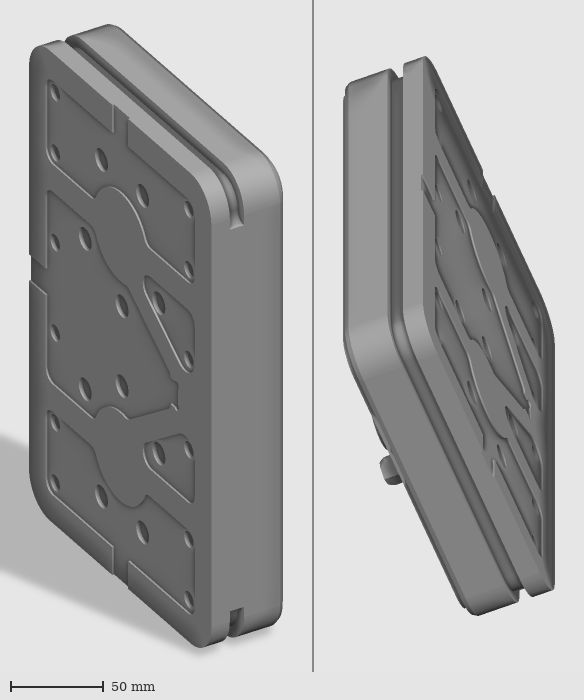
import cadquery as cq
import math

WIDTH = 190.5
HEIGHT = 298.5
CORNER_RADIUS = 21.5

GROOVE_FRONT = 11.5
GROOVE_BACK = 20.5
CHAMFER_START = 43.3
BODY_BACK = 46.0
STEP_BACK = 49.0
SMALL_PIN_END = 61.0
LARGE_PIN_END = 63.5

GROOVE_DEPTH = 6.5
STEP_INSET = 6.3
CHAMFER_ANGLE = 30
CHAMFER_LENGTH = 3.0

POCKET_DEPTH = 1.2
POCKET_SIDE = 78.0
POCKET_END = 131.5
POCKET_RADIUS = 7.5
SIDE_POINT_RADIUS = 10.5
SIDE_TIP_RADIUS = 8.0
CUSP_RADIUS = 6.0
CHANNEL_WIDTH = 16.7
LAND_RADIUS = 28.0
LAND_HALF_WIDTH = 8.7
LAND_Z = 69.8

SLOPE = math.tan(math.radians(35))
CENTRE_WALL_APEX = 68.3
SIDE_WALL_APEX = 93.5
NOSE_START = 52.5
NOSE_END = 60.3
NOSE_SHOULDER_RADIUS = 4.8
EAR_RADIUS = 2.5
EAR_OFFSET = 1.5
TOLERANCE = 0.03

HOLE_DEPTH = 2.5
SMALL_HOLE_DIAMETER = 9.8
SMALL_HOLE_X = 69.8
SMALL_HOLE_Z = (28.7, 85.7, 124.0)
LARGE_HOLE_DIAMETER = 13.5
LARGE_HOLES = ((0, 25.5), (-38.5, 47.8), (38.5, 47.8), (-21.5, 106.8), (21.5, 106.8))

LARGE_PIN_DIAMETER = 29.2
LARGE_PIN_TIP_CHAMFER = 1.5
SMALL_PIN_DIAMETER = 16.7
SMALL_PIN_TIP_CHAMFER = 1.8
SMALL_PIN_Z = 120.5
DIAMOND_HALF_HEIGHT = 7.0
DIAMOND_NOSE_HALF = 2.5


def at_depth(y):
    """Workplane at depth y; local x and y are X and Z, and a negative extrusion runs towards +Y."""
    return cq.Workplane("XZ", origin=(0, y, 0))


def cylinder(x, z, diameter, front, back):
    return at_depth(front).center(x, z).circle(diameter / 2).extrude(front - back)


def block(x_min, x_max, z_min, z_max, front, back):
    outline = at_depth(front).center((x_min + x_max) / 2, (z_min + z_max) / 2)
    return outline.rect(x_max - x_min, z_max - z_min).extrude(front - back)


def plate(inset, front, back):
    """Rounded plate whose outline is set in from the block's outline."""
    outline = at_depth(front).rect(WIDTH - 2 * inset, HEIGHT - 2 * inset).extrude(front - back)
    return outline.edges("|Y").fillet(CORNER_RADIUS - inset)


def flip(shape):
    """The shape mirrored to the other side of Z = 0."""
    return shape.mirror("XY")


def groove_core():
    """What remains inside the groove; on +X the groove runs out to the side just past the corners."""
    run_out_z = HEIGHT / 2 - CORNER_RADIUS
    core = plate(GROOVE_DEPTH, GROOVE_FRONT, GROOVE_BACK)
    filled_side = block(0, WIDTH / 2, -run_out_z, run_out_z, GROOVE_FRONT, GROOVE_BACK)
    for z in (-run_out_z, run_out_z):
        filled_side = filled_side.cut(
            cylinder(WIDTH / 2, z, 2 * GROOVE_DEPTH, GROOVE_FRONT, GROOVE_BACK)
        )
    return core.union(filled_side)


def body():
    back_length = BODY_BACK - CHAMFER_START
    back_width = back_length * math.tan(math.radians(CHAMFER_ANGLE))
    rear = plate(0, GROOVE_BACK, BODY_BACK).faces(">Y").chamfer(back_length, back_width)
    step = plate(STEP_INSET, BODY_BACK, STEP_BACK)
    return plate(0, 0, GROOVE_FRONT).union(groove_core()).union(rear).union(step)


def land(z):
    return cylinder(0, z, 2 * LAND_RADIUS, 0, POCKET_DEPTH)


def upright_edges_between(shape, x_min, x_max):
    """Edges along Y whose X lies in the given range."""
    return shape.edges("|Y").filter(lambda edge: x_min < edge.Center().x < x_max)


def end_pocket():
    pocket = block(
        -POCKET_SIDE, POCKET_SIDE, LAND_Z + LAND_HALF_WIDTH, POCKET_END, 0, POCKET_DEPTH
    ).cut(land(LAND_Z))
    pocket = upright_edges_between(pocket, -LAND_RADIUS, LAND_RADIUS).fillet(CUSP_RADIUS)
    for side in ("<X", ">X"):
        pocket = pocket.faces(side).edges("|Y").fillet(POCKET_RADIUS)
    return pocket


def side_pocket():
    """Triangular pocket between the +X wall and a sloping land."""
    top = LAND_Z - LAND_HALF_WIDTH
    corners = [
        (POCKET_SIDE, top),
        (POCKET_SIDE, (SIDE_WALL_APEX - POCKET_SIDE) * SLOPE),
        (SIDE_WALL_APEX - top / SLOPE, top),
    ]
    pocket = at_depth(0).polyline(corners).close().extrude(-POCKET_DEPTH)
    pocket = pocket.edges("|Y").edges("<Z").fillet(SIDE_POINT_RADIUS)
    pocket = pocket.edges("|Y").edges("<X").fillet(SIDE_TIP_RADIUS)
    return pocket.faces(">X").edges("|Y").edges(">Z").fillet(POCKET_RADIUS)


def centre_pocket():
    """Pocket narrowing along sloping walls to a square nose with relieved corners."""
    top = LAND_Z - LAND_HALF_WIDTH
    nose_z = CHANNEL_WIDTH / 2
    upper_half = [
        (-POCKET_SIDE, top),
        (0, top),
        (0, CENTRE_WALL_APEX * SLOPE),
        (NOSE_START, (CENTRE_WALL_APEX - NOSE_START) * SLOPE),
        (NOSE_START, nose_z),
        (NOSE_END, nose_z),
    ]
    lower_half = [(x, -z) for x, z in reversed(upper_half)]
    pocket = at_depth(0).polyline(upper_half + lower_half).close().extrude(-POCKET_DEPTH)
    pocket = pocket.cut(land(LAND_Z)).cut(land(-LAND_Z))

    pocket = pocket.faces("<X").edges("|Y").fillet(POCKET_RADIUS)
    pocket = upright_edges_between(pocket, -LAND_RADIUS, LAND_RADIUS).fillet(CUSP_RADIUS)
    shoulders = pocket.edges("|Y").filter(
        lambda edge: abs(edge.Center().x - NOSE_START) < TOLERANCE
        and abs(edge.Center().z) > nose_z + TOLERANCE
    )
    pocket = shoulders.fillet(NOSE_SHOULDER_RADIUS)
    for side in (-1, 1):
        ear_z = side * (nose_z - EAR_OFFSET)
        pocket = pocket.union(
            cylinder(NOSE_END - EAR_OFFSET, ear_z, 2 * EAR_RADIUS, 0, POCKET_DEPTH)
        )
    return pocket


def channels():
    half = CHANNEL_WIDTH / 2
    upper = block(-half, half, POCKET_END, HEIGHT / 2, 0, POCKET_DEPTH)
    left = block(-WIDTH / 2, -POCKET_SIDE, -half, half, 0, POCKET_DEPTH)
    return [upper, flip(upper), left]


def holes():
    places = [(x, z, SMALL_HOLE_DIAMETER) for x in (-SMALL_HOLE_X, SMALL_HOLE_X) for z in SMALL_HOLE_Z]
    places += [(x, z, LARGE_HOLE_DIAMETER) for x, z in LARGE_HOLES]
    return [
        cylinder(x, side * z, diameter, 0, POCKET_DEPTH + HOLE_DEPTH)
        for x, z, diameter in places
        for side in (-1, 1)
    ]


def pin(z, diameter, end, tip_chamfer):
    return cylinder(0, z, diameter, STEP_BACK, end).faces(">Y").chamfer(CHAMFER_LENGTH, tip_chamfer)


def small_pin(z):
    return pin(z, SMALL_PIN_DIAMETER, SMALL_PIN_END, SMALL_PIN_TIP_CHAMFER)


def diamond_pin(z):
    """Small pin cut to a diamond that keeps a narrow round nose at -X and +X."""
    nose_x = math.sqrt((SMALL_PIN_DIAMETER / 2) ** 2 - DIAMOND_NOSE_HALF ** 2)
    wall_slope = (DIAMOND_HALF_HEIGHT - DIAMOND_NOSE_HALF) / nose_x
    point_x = DIAMOND_HALF_HEIGHT / wall_slope
    diamond = (
        at_depth(STEP_BACK)
        .center(0, z)
        .polyline([(point_x, 0), (0, DIAMOND_HALF_HEIGHT), (-point_x, 0), (0, -DIAMOND_HALF_HEIGHT)])
        .close()
        .extrude(STEP_BACK - SMALL_PIN_END)
    )
    return small_pin(z).intersect(diamond)


def large_pin(z):
    return pin(z, LARGE_PIN_DIAMETER, LARGE_PIN_END, LARGE_PIN_TIP_CHAMFER)


cuts = [
    end_pocket(), flip(end_pocket()),
    side_pocket(), flip(side_pocket()),
    centre_pocket(),
    *channels(),
    *holes(),
]
pins = [large_pin(LAND_Z), large_pin(-LAND_Z), small_pin(SMALL_PIN_Z), diamond_pin(-SMALL_PIN_Z)]

result = body()
for cutter in cuts:
    result = result.cut(cutter)
for back_pin in pins:
    result = result.union(back_pin)